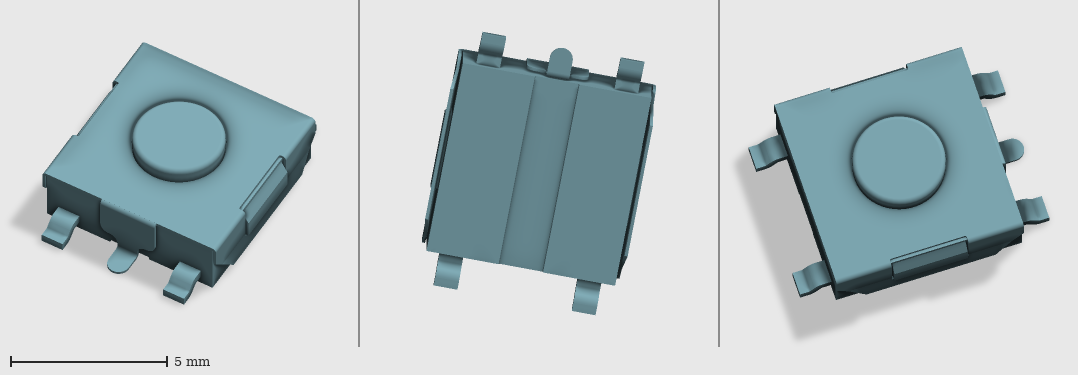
import cadquery as cq
import math

LENGTH = 8.4
HEIGHT = 2.5
COVER_TOP = 2.0
SHEET = 0.1
COVER_UNDERSIDE = COVER_TOP - SHEET
BEND_INNER_R = 0.04
BEND_OUTER_R = BEND_INNER_R + SHEET

HOUSING_X = 6.15
HOUSING_Y = 6.27
CHANNEL_WIDTH = 1.45
CHANNEL_DEPTH = 0.1
CHANNEL_DRAFT = 0.025
LATCH_REACH = 3.3
LATCH_WIDTH = 2.47
LATCH_TOP = 1.77
LATCH_KNEE = 1.395
LATCH_BOTTOM = 0.78

COVER_Y = 6.32
FLANGE_X = 3.22
FLAP_X = 3.3
FLAP_TOP = 0.87
FLAP_BOTTOM = 0.29
CORNER_CUT_TOP = 1.28
SLOT_WIDTH = 2.59
SLOT_INNER_X = 2.97
SLOT_CORNER_R = 0.06
BUTTON_HOLE_DIA = 3.06

TAB_WIDTH = 2.02
TAB_Y = 3.28
NECK_WIDTH = 0.74
SHOULDER_Z = 0.6
SHOULDER_R = 0.3
FOOT_BEND_INNER_R = 0.1
FOOT_SHEET = 0.09

BUTTON_DIA = 3.0
BUTTON_FILLET = 0.15

LEAD_WIDTH = 0.77
LEAD_X = 2.25
LEAD_THICKNESS = 0.29
LEAD_STEP = 0.29
LEAD_KNEE_Y = 3.59
LEAD_INNER_R = 0.1
LEAD_BEND_ANGLE = 45.0


def extruded_xz(points, y_length):
    """Prism of an XZ outline, centred on Y = 0."""
    return cq.Workplane("XZ").polyline(points).close().extrude(y_length / 2, both=True)


def extruded_yz(points, x_length):
    """Prism of a YZ outline, centred on X = 0."""
    return cq.Workplane("YZ").polyline(points).close().extrude(x_length / 2, both=True)


def mirrored_pair(body):
    """The body together with its mirror image at -X."""
    return body.union(body.mirror("YZ"))


def edge_at(axis, u, v):
    """Selector for the edge along the axis "X" or "Y" through (u, v) in the other two directions."""
    margin = 0.004
    far = LENGTH
    if axis == "X":
        return cq.selectors.BoxSelector((-far, u - margin, v - margin), (far, u + margin, v + margin))
    return cq.selectors.BoxSelector((u - margin, -far, v - margin), (u + margin, far, v + margin))


def make_housing():
    body = cq.Workplane("XY").box(HOUSING_X, HOUSING_Y, COVER_UNDERSIDE, centered=(True, True, False))

    half_channel = CHANNEL_WIDTH / 2
    half_roof = half_channel - CHANNEL_DRAFT
    channel = extruded_xz(
        [(-half_channel, 0), (half_channel, 0), (half_roof, CHANNEL_DEPTH), (-half_roof, CHANNEL_DEPTH)],
        HOUSING_Y,
    )

    wall_x = HOUSING_X / 2
    latch = extruded_xz(
        [
            (0, LATCH_TOP),
            (wall_x, LATCH_TOP),
            (LATCH_REACH, LATCH_KNEE),
            (LATCH_REACH, LATCH_BOTTOM),
            (0, LATCH_BOTTOM),
        ],
        LATCH_WIDTH,
    )
    return body.cut(channel).union(mirrored_pair(latch))


def make_cover_shell():
    """Top plate with two side flanges that end in splayed flaps."""
    inner_x = FLANGE_X - SHEET
    half = [
        (0, COVER_TOP),
        (FLANGE_X, COVER_TOP),
        (FLANGE_X, FLAP_TOP),
        (FLAP_X, FLAP_BOTTOM),
        (FLAP_X - SHEET, FLAP_BOTTOM),
        (inner_x, FLAP_TOP),
        (inner_x, COVER_UNDERSIDE),
        (0, COVER_UNDERSIDE),
    ]
    shell = extruded_xz(half, COVER_Y)
    shell = shell.edges(edge_at("Y", FLANGE_X, COVER_TOP)).fillet(BEND_OUTER_R)
    shell = shell.edges(edge_at("Y", inner_x, COVER_UNDERSIDE)).fillet(BEND_INNER_R)

    half_y = COVER_Y / 2
    flap_half_y = half_y - (CORNER_CUT_TOP - FLAP_BOTTOM)
    side_outline = extruded_yz(
        [
            (-half_y, COVER_TOP),
            (-half_y, CORNER_CUT_TOP),
            (-flap_half_y, FLAP_BOTTOM),
            (flap_half_y, FLAP_BOTTOM),
            (half_y, CORNER_CUT_TOP),
            (half_y, COVER_TOP),
        ],
        2 * FLAP_X,
    )
    return mirrored_pair(shell.intersect(side_outline))


def make_latch_slots():
    slot_depth = FLAP_X - SLOT_INNER_X
    slot = (
        cq.Workplane("XY", origin=(SLOT_INNER_X, 0, LATCH_BOTTOM))
        .box(slot_depth, SLOT_WIDTH, COVER_TOP - LATCH_BOTTOM, centered=(False, True, False))
        .edges("|Z and <X")
        .fillet(SLOT_CORNER_R)
    )
    return mirrored_pair(slot)


def make_front_tab():
    """Strip that hangs from the top plate and turns outwards into a round-ended foot."""
    inner_y = TAB_Y - SHEET
    root_y = TAB_Y - 2 * BEND_OUTER_R
    foot_r = NECK_WIDTH / 2
    foot_centre_y = LENGTH / 2 - foot_r
    strip = extruded_yz(
        [
            (-root_y, COVER_TOP),
            (-TAB_Y, COVER_TOP),
            (-TAB_Y, FOOT_SHEET),
            (-foot_centre_y, FOOT_SHEET),
            (-foot_centre_y, 0),
            (-inner_y, 0),
            (-inner_y, COVER_UNDERSIDE),
            (-root_y, COVER_UNDERSIDE),
        ],
        TAB_WIDTH,
    )
    strip = strip.edges(edge_at("X", -TAB_Y, COVER_TOP)).fillet(BEND_OUTER_R)
    strip = strip.edges(edge_at("X", -inner_y, COVER_UNDERSIDE)).fillet(BEND_INNER_R)
    strip = strip.edges(edge_at("X", -TAB_Y, FOOT_SHEET)).fillet(FOOT_BEND_INNER_R)
    strip = strip.edges(edge_at("X", -inner_y, 0)).fillet(FOOT_BEND_INNER_R + SHEET)

    half_tab = TAB_WIDTH / 2
    half_neck = NECK_WIDTH / 2
    front_outline = extruded_xz(
        [
            (-half_tab, COVER_TOP),
            (-half_tab, SHOULDER_Z),
            (-half_neck, SHOULDER_Z),
            (-half_neck, 0),
            (half_neck, 0),
            (half_neck, SHOULDER_Z),
            (half_tab, SHOULDER_Z),
            (half_tab, COVER_TOP),
        ],
        LENGTH,
    )
    for x in (-half_tab, -half_neck, half_neck, half_tab):
        front_outline = front_outline.edges(edge_at("Y", x, SHOULDER_Z)).fillet(SHOULDER_R)

    foot_end = cq.Workplane("XY").center(0, -foot_centre_y).circle(foot_r).extrude(FOOT_SHEET)
    return strip.intersect(front_outline).union(foot_end)


def make_cover():
    button_hole = cq.Workplane("XY").circle(BUTTON_HOLE_DIA / 2).extrude(HEIGHT)
    return make_cover_shell().cut(make_latch_slots()).cut(button_hole).union(make_front_tab())


def make_button():
    return (
        cq.Workplane("XY", origin=(0, 0, COVER_UNDERSIDE))
        .circle(BUTTON_DIA / 2)
        .extrude(HEIGHT - COVER_UNDERSIDE)
        .faces(">Z")
        .edges()
        .fillet(BUTTON_FILLET)
    )


def make_lead(side_x, side_y):
    """Gull-wing lead with two opposite bends; the signs choose the corner of the housing."""
    shoulder_top = LEAD_STEP + LEAD_THICKNESS
    inset = LEAD_THICKNESS * math.tan(math.radians(LEAD_BEND_ANGLE / 2))
    step_run = LEAD_STEP / math.tan(math.radians(LEAD_BEND_ANGLE))
    upper_outside = (LEAD_KNEE_Y, shoulder_top)
    upper_inside = (LEAD_KNEE_Y - inset, LEAD_STEP)
    lower_inside = (LEAD_KNEE_Y + step_run, LEAD_THICKNESS)
    lower_outside = (LEAD_KNEE_Y - inset + step_run, 0)
    lead = extruded_yz(
        [
            (HOUSING_Y / 2, shoulder_top),
            upper_outside,
            lower_inside,
            (LENGTH / 2, LEAD_THICKNESS),
            (LENGTH / 2, 0),
            lower_outside,
            upper_inside,
            (HOUSING_Y / 2, LEAD_STEP),
        ],
        LEAD_WIDTH,
    )
    for corner in (upper_inside, lower_inside):
        lead = lead.edges(edge_at("X", *corner)).fillet(LEAD_INNER_R)
    for corner in (upper_outside, lower_outside):
        lead = lead.edges(edge_at("X", *corner)).fillet(LEAD_INNER_R + LEAD_THICKNESS)
    if side_y < 0:
        lead = lead.mirror("XZ")
    return lead.translate((side_x * LEAD_X, 0, 0))


housing = make_housing()
cover = make_cover()
button = make_button()
leads = [make_lead(side_x, side_y) for side_x in (-1, 1) for side_y in (-1, 1)]

result = cq.Compound.makeCompound(
    [housing.val(), cover.val(), button.val(), *[lead.val() for lead in leads]]
)